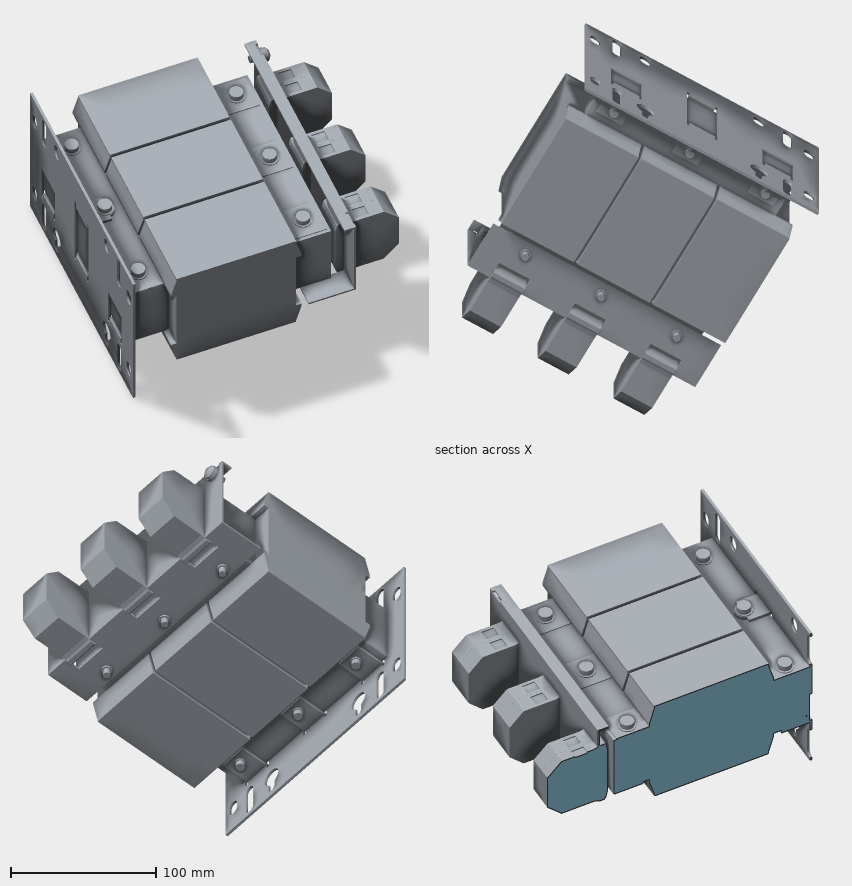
import cadquery as cq


OVERALL_DEPTH = 206.1
PHASE_PITCH = 60.0
PHASE_X = (-PHASE_PITCH, 0.0, PHASE_PITCH)
CORE_Z = 3.75

PLATE_WIDTH = 185.0
PLATE_HEIGHT = 122.0
PLATE_THICKNESS = 2.0
LONG_SLOT_X, LONG_SLOT_Z = 67.7, 45.0
LONG_SLOT_LENGTH, LONG_SLOT_WIDTH = 26.5, 7.4
END_SLOT_X, END_SLOT_Z = 84.7, 38.5
END_SLOT_LENGTH, END_SLOT_WIDTH = 12.2, 8.0
KEYHOLE_X = 45.0
UPPER_SLOT_Z, UPPER_SLOT_LENGTH, UPPER_SLOT_WIDTH = 49.75, 12.0, 9.0
KEYHOLE_Z, KEYHOLE_DIAMETER = -41.7, 14.0
KEYHOLE_NECK_WIDTH, KEYHOLE_BOTTOM_Z = 6.0, -56.4

CORE_LENGTH = 150.8
CORE_HEIGHT = 49.8
CORE_BACK_Y = 154.5
FRONT_YOKE_END_Y = 31.8
REAR_YOKE_START_Y = 124.8
SHEET_THICKNESS = 0.8
SHEET_INSET = 0.1
WALL_INSET = 0.5
CORE_TOP = CORE_Z + CORE_HEIGHT / 2
CORE_BOTTOM = CORE_Z - CORE_HEIGHT / 2
SHEET_TOP = CORE_TOP + SHEET_THICKNESS
SHEET_BOTTOM = CORE_BOTTOM - SHEET_THICKNESS
PAD_WIDTH, PAD_BACK_Y = 26.2, 152.2

COIL_WIDTH = 57.5
COIL_HEIGHT = 86.8
COIL_FRONT_Y, COIL_BACK_Y = 34.0, 123.0
COIL_OVERHANG = 4.0
COIL_LIP = 1.7
FLARE_LIP = 2.4

TAB_WIDTH = 20.0
TAB_THICKNESS = 2.5
UPPER_TAB_END_Y, LOWER_TAB_END_Y = 18.4, 24.0
WINDOW_WIDTH = 24.6
SIDE_WINDOW_TOP_Z = 2.9
RELIEF_WIDTH = 2.6
RELIEF_LENGTH = 2.7
TAB_EYE_DIAMETER = 13.5

FRONT_BOLT_Y, REAR_BOLT_Y = 17.3, 139.9
HEAD_DIAMETER, HEAD_HEIGHT = 9.9, 4.2
WASHER_DIAMETER, WASHER_THICKNESS = 12.6, 0.8
NUT_DIAMETER, NUT_HEIGHT = 7.6, 1.4
FRONT_SHANK_DIAMETER, REAR_SHANK_DIAMETER = 6.3, 5.1
SHANK_END_Z = -29.8

BRACKET_WIDTH = 180.4
BRACKET_BACK_Y = 167.0
BRACKET_TOP_Z = 43.9
BRACKET_THICKNESS = 1.5
TOP_FLANGE_FRONT_Y, BOTTOM_FLANGE_FRONT_Y = 158.3, 131.7
BRACKET_BOTTOM_Z = SHEET_BOTTOM - BRACKET_THICKNESS
FLANGE_NOTCH_WIDTH = 24.6
EARTH_X, EARTH_Z = 81.3, 36.8
BEND_RELIEF_WIDTH, BEND_RELIEF_DEPTH = 10.9, 2.0

SCREW_HEAD_DIAMETER, SCREW_HEAD_TOP_DIAMETER, SCREW_HEAD_HEIGHT = 10.0, 5.0, 3.7
SCREW_WASHER_DIAMETER, SCREW_WASHER_THICKNESS = 10.9, 2.3
PRESS_NUT_DIAMETER, PRESS_NUT_HEIGHT = 7.5, 1.6
SCREW_SHANK_DIAMETER, SCREW_SHANK_END_Y = 5.4, 158.3

TERMINAL_WIDTH = 24.6
TERMINAL_TOP_Z, TERMINAL_BOTTOM_Z = 27.2, -23.1
TERMINAL_CHAMFER = 11.0
TERMINAL_GROOVE = 0.05
RAMP_START_Y, RAMP_RISE = 170.3, 0.8
CLIP_FRONT_Y, CLIP_TOP_Z, CLIP_BOTTOM_Z = 159.2, 28.8, -24.9
CLIP_TAPER, CLIP_TAPER_HEIGHT, CLIP_CHAMFER = 1.0, 6.0, 1.0
FOOT_FRONT_Y, FOOT_CHAMFER = 160.4, 1.6
POCKET_WIDTH, POCKET_DEPTH = 8.0, 1.0
POCKET_FRONT_Y, POCKET_BACK_Y = 175.0, 184.6
POCKET_OFFSET = 6.0


def block(x_range, y_range, z_range):
    """Axis-aligned box from its limits along X, Y and Z."""
    size = [high - low for low, high in (x_range, y_range, z_range)]
    corner = (x_range[0], y_range[0], z_range[0])
    return cq.Workplane("XY").box(*size, centered=False).translate(corner)


def centred_block(x, width, y_range, z_range):
    return block((x - width / 2, x + width / 2), y_range, z_range)


def disc_z(x, y, z_low, z_high, diameter):
    """Upright cylinder."""
    return cq.Workplane("XY", origin=(x, y, z_low)).circle(diameter / 2).extrude(z_high - z_low)


def disc_y(x, z, y_low, y_high, diameter):
    """Cylinder along Y."""
    return cq.Workplane("XZ", origin=(x, y_low, z)).circle(diameter / 2).extrude(y_low - y_high)


def side_profile(points, x, width):
    """Extrude a (Y, Z) outline along X, centred on x."""
    return cq.Workplane("YZ", origin=(x - width / 2, 0, 0)).polyline(points).close().extrude(width)


def upright_slot(x, z, length, width):
    """Cutter for a round-ended vertical slot through the mounting plate."""
    return (
        cq.Workplane("XZ", origin=(x, 0, z))
        .slot2D(length, width, 90)
        .extrude(-PLATE_THICKNESS)
    )


def cut_mounting_holes(plate):
    for side in (-1, 1):
        for level in (-1, 1):
            plate = plate.cut(
                upright_slot(side * LONG_SLOT_X, level * LONG_SLOT_Z, LONG_SLOT_LENGTH, LONG_SLOT_WIDTH)
            )
            plate = plate.cut(
                upright_slot(side * END_SLOT_X, level * END_SLOT_Z, END_SLOT_LENGTH, END_SLOT_WIDTH)
            )
        x = side * KEYHOLE_X
        plate = plate.cut(upright_slot(x, UPPER_SLOT_Z, UPPER_SLOT_LENGTH, UPPER_SLOT_WIDTH))
        plate = plate.cut(disc_y(x, KEYHOLE_Z, 0, PLATE_THICKNESS, KEYHOLE_DIAMETER))
        neck_length = KEYHOLE_Z - KEYHOLE_BOTTOM_Z
        neck_z = KEYHOLE_BOTTOM_Z + neck_length / 2
        plate = plate.cut(upright_slot(x, neck_z, neck_length, KEYHOLE_NECK_WIDTH))
    return plate


def cut_tab_windows(plate):
    """Openings left by the bent tabs, with relief cuts beside each bend."""
    through = (0, PLATE_THICKNESS)
    relief_x = (WINDOW_WIDTH - RELIEF_WIDTH) / 2
    relief_reach = TAB_THICKNESS + RELIEF_LENGTH
    for x in PHASE_X:
        central = x == 0
        window_top = SHEET_TOP if central else SIDE_WINDOW_TOP_Z
        plate = plate.cut(centred_block(x, WINDOW_WIDTH, through, (SHEET_BOTTOM, window_top)))
        for side in (-1, 1):
            leg_x = x + side * relief_x
            low = (SHEET_BOTTOM - relief_reach, SHEET_BOTTOM)
            plate = plate.cut(centred_block(leg_x, RELIEF_WIDTH, through, low))
            if central:
                high = (SHEET_TOP, SHEET_TOP + relief_reach)
                plate = plate.cut(centred_block(leg_x, RELIEF_WIDTH, through, high))
    return plate


def mounting_plate():
    plate = centred_block(
        0, PLATE_WIDTH, (0, PLATE_THICKNESS), (-PLATE_HEIGHT / 2, PLATE_HEIGHT / 2)
    )
    plate = cut_tab_windows(cut_mounting_holes(plate))
    for x in PHASE_X:
        lower = (SHEET_BOTTOM - TAB_THICKNESS, SHEET_BOTTOM)
        plate = plate.union(centred_block(x, TAB_WIDTH, (0, LOWER_TAB_END_Y), lower))
    upper = (SHEET_TOP, SHEET_TOP + TAB_THICKNESS)
    plate = plate.union(centred_block(0, TAB_WIDTH, (0, UPPER_TAB_END_Y), upper))
    return plate.union(disc_z(0, FRONT_BOLT_Y, *upper, TAB_EYE_DIAMETER))


def core():
    front = (PLATE_THICKNESS, FRONT_YOKE_END_Y)
    rear = (REAR_YOKE_START_Y, CORE_BACK_Y)
    body = centred_block(0, CORE_LENGTH, front, (CORE_BOTTOM, CORE_TOP))
    body = body.union(centred_block(0, CORE_LENGTH, rear, (CORE_BOTTOM, CORE_TOP)))
    sheet_length = CORE_LENGTH - 2 * SHEET_INSET
    front_sheet = (PLATE_THICKNESS + SHEET_INSET, FRONT_YOKE_END_Y)
    rear_sheet = (REAR_YOKE_START_Y, CORE_BACK_Y - SHEET_INSET)
    body = body.union(centred_block(0, sheet_length, front_sheet, (CORE_TOP, SHEET_TOP)))
    body = body.union(centred_block(0, sheet_length, front_sheet, (SHEET_BOTTOM, CORE_BOTTOM)))
    body = body.union(centred_block(0, sheet_length, rear_sheet, (SHEET_BOTTOM, CORE_BOTTOM)))
    wall_length = CORE_LENGTH - 2 * WALL_INSET
    for wall in ((FRONT_YOKE_END_Y, COIL_FRONT_Y), (COIL_BACK_Y, REAR_YOKE_START_Y)):
        body = body.union(centred_block(0, wall_length, wall, (SHEET_BOTTOM, SHEET_TOP)))
    for x in PHASE_X:
        pad_y = (REAR_YOKE_START_Y, PAD_BACK_Y)
        body = body.union(centred_block(x, PAD_WIDTH, pad_y, (CORE_TOP, SHEET_TOP)))
    return body


def coil(x):
    """Winding block whose ends flare over the top and bottom of the yokes."""
    top = CORE_Z + COIL_HEIGHT / 2
    bottom = CORE_Z - COIL_HEIGHT / 2
    flare_front = COIL_FRONT_Y - COIL_OVERHANG
    flare_back = COIL_BACK_Y + COIL_OVERHANG
    outline = [
        (COIL_FRONT_Y, top),
        (COIL_FRONT_Y, top - COIL_LIP),
        (flare_front, SHEET_TOP + FLARE_LIP),
        (flare_front, SHEET_TOP),
        (COIL_FRONT_Y, SHEET_TOP),
        (COIL_FRONT_Y, SHEET_BOTTOM),
        (flare_front, SHEET_BOTTOM),
        (flare_front, SHEET_BOTTOM - FLARE_LIP),
        (COIL_FRONT_Y, bottom + COIL_LIP),
        (COIL_FRONT_Y, bottom),
        (COIL_BACK_Y, bottom),
        (COIL_BACK_Y, bottom + COIL_LIP),
        (flare_back, SHEET_BOTTOM - FLARE_LIP),
        (flare_back, SHEET_BOTTOM),
        (COIL_BACK_Y, SHEET_BOTTOM),
        (COIL_BACK_Y, SHEET_TOP),
        (flare_back, SHEET_TOP),
        (flare_back, SHEET_TOP + FLARE_LIP),
        (COIL_BACK_Y, top - COIL_LIP),
        (COIL_BACK_Y, top),
    ]
    return side_profile(outline, x, COIL_WIDTH)


def clamping_bolt(x, y, seat_top, seat_bottom, shank_diameter):
    washer_top = seat_top + WASHER_THICKNESS
    bolt = disc_z(x, y, SHANK_END_Z, washer_top, shank_diameter)
    bolt = bolt.union(disc_z(x, y, seat_top, washer_top, WASHER_DIAMETER))
    bolt = bolt.union(disc_z(x, y, washer_top, washer_top + HEAD_HEIGHT, HEAD_DIAMETER))
    return bolt.union(disc_z(x, y, seat_bottom - NUT_HEIGHT, seat_bottom, NUT_DIAMETER))


def terminal_bracket():
    """Channel-shaped bracket: upright web, short top flange, long bottom flange."""
    web_front_y = BRACKET_BACK_Y - BRACKET_THICKNESS
    flange_underside = BRACKET_TOP_Z - BRACKET_THICKNESS
    outline = [
        (BRACKET_BACK_Y, BRACKET_BOTTOM_Z),
        (BRACKET_BACK_Y, BRACKET_TOP_Z),
        (TOP_FLANGE_FRONT_Y, BRACKET_TOP_Z),
        (TOP_FLANGE_FRONT_Y, flange_underside),
        (web_front_y, flange_underside),
        (web_front_y, SHEET_BOTTOM),
        (BOTTOM_FLANGE_FRONT_Y, SHEET_BOTTOM),
        (BOTTOM_FLANGE_FRONT_Y, BRACKET_BOTTOM_Z),
    ]
    bracket = side_profile(outline, 0, BRACKET_WIDTH)
    for x in PHASE_X:
        notch_y = (CORE_BACK_Y, web_front_y)
        bracket = bracket.cut(
            centred_block(x, FLANGE_NOTCH_WIDTH, notch_y, (BRACKET_BOTTOM_Z, SHEET_BOTTOM))
        )
    relief_y = (BRACKET_BACK_Y - BEND_RELIEF_DEPTH, BRACKET_BACK_Y)
    for x in (-EARTH_X, EARTH_X):
        bracket = bracket.cut(
            centred_block(x, BEND_RELIEF_WIDTH, relief_y, (flange_underside, BRACKET_TOP_Z))
        )
        nut_y = (web_front_y - PRESS_NUT_HEIGHT, web_front_y)
        bracket = bracket.union(disc_y(x, EARTH_Z, *nut_y, PRESS_NUT_DIAMETER))
    return bracket


def earth_screw():
    washer_back = BRACKET_BACK_Y + SCREW_WASHER_THICKNESS
    screw = disc_y(-EARTH_X, EARTH_Z, SCREW_SHANK_END_Y, washer_back, SCREW_SHANK_DIAMETER)
    screw = screw.union(
        disc_y(-EARTH_X, EARTH_Z, BRACKET_BACK_Y, washer_back, SCREW_WASHER_DIAMETER)
    )
    bevel_width = (SCREW_HEAD_DIAMETER - SCREW_HEAD_TOP_DIAMETER) / 2
    bevel_height = SCREW_HEAD_HEIGHT / 2
    head = disc_y(-EARTH_X, EARTH_Z, washer_back, washer_back + SCREW_HEAD_HEIGHT, SCREW_HEAD_DIAMETER)
    head = head.faces(">Y").edges().chamfer(bevel_height, bevel_width)
    return screw.union(head)


def terminal(x):
    """Pair of terminal blocks with a clip that passes through the bracket."""
    clip_edge_y = CLIP_FRONT_Y + CLIP_TAPER
    outline = [
        (CLIP_FRONT_Y, CLIP_TOP_Z - CLIP_TAPER_HEIGHT),
        (clip_edge_y, CLIP_TOP_Z - CLIP_CHAMFER),
        (clip_edge_y + CLIP_CHAMFER, CLIP_TOP_Z),
        (BRACKET_BACK_Y, CLIP_TOP_Z),
        (BRACKET_BACK_Y, TERMINAL_TOP_Z + RAMP_RISE),
        (RAMP_START_Y, TERMINAL_TOP_Z),
        (OVERALL_DEPTH - TERMINAL_CHAMFER, TERMINAL_TOP_Z),
        (OVERALL_DEPTH, TERMINAL_TOP_Z - TERMINAL_CHAMFER),
        (OVERALL_DEPTH, TERMINAL_BOTTOM_Z + TERMINAL_CHAMFER),
        (OVERALL_DEPTH - TERMINAL_CHAMFER, TERMINAL_BOTTOM_Z),
        (RAMP_START_Y, TERMINAL_BOTTOM_Z),
        (BRACKET_BACK_Y, TERMINAL_BOTTOM_Z - RAMP_RISE),
        (BRACKET_BACK_Y - FOOT_CHAMFER, CLIP_BOTTOM_Z),
        (FOOT_FRONT_Y + FOOT_CHAMFER, CLIP_BOTTOM_Z),
        (FOOT_FRONT_Y, TERMINAL_BOTTOM_Z),
        (CLIP_FRONT_Y, TERMINAL_BOTTOM_Z + CLIP_TAPER_HEIGHT),
    ]
    body = side_profile(outline, x, TERMINAL_WIDTH)
    groove_z = (TERMINAL_TOP_Z - TERMINAL_CHAMFER, CLIP_TOP_Z)
    clip_face_y = (CLIP_FRONT_Y, clip_edge_y)
    for groove_y in (clip_face_y, (BRACKET_BACK_Y, OVERALL_DEPTH)):
        body = body.cut(centred_block(x, TERMINAL_GROOVE, groove_y, groove_z))
    for side in (-1, 1):
        body = body.cut(
            centred_block(
                x + side * POCKET_OFFSET,
                POCKET_WIDTH,
                (POCKET_FRONT_Y, POCKET_BACK_Y),
                (TERMINAL_TOP_Z - POCKET_DEPTH, TERMINAL_TOP_Z),
            )
        )
    return body


assembly = mounting_plate().union(core()).union(terminal_bracket()).union(earth_screw())
for phase_x in PHASE_X:
    front_seat_top = SHEET_TOP + TAB_THICKNESS if phase_x == 0 else SHEET_TOP
    front_seat_bottom = SHEET_BOTTOM - TAB_THICKNESS
    assembly = assembly.union(coil(phase_x))
    assembly = assembly.union(
        clamping_bolt(phase_x, FRONT_BOLT_Y, front_seat_top, front_seat_bottom, FRONT_SHANK_DIAMETER)
    )
    assembly = assembly.union(
        clamping_bolt(phase_x, REAR_BOLT_Y, SHEET_TOP, BRACKET_BOTTOM_Z, REAR_SHANK_DIAMETER)
    )
    assembly = assembly.union(terminal(phase_x))

result = assembly